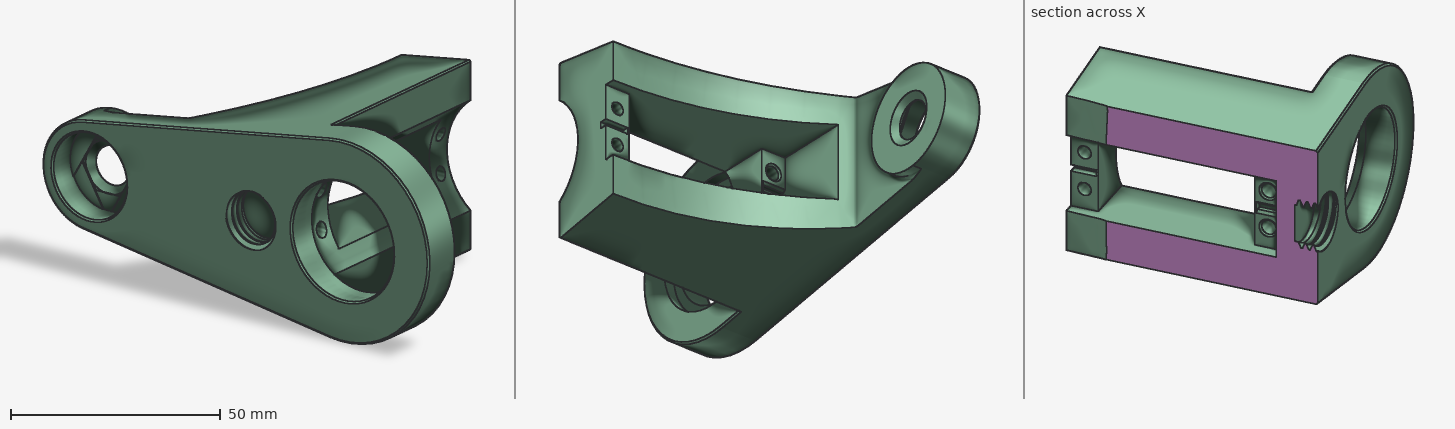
import cadquery as cq
import math

small_radius = 14.0
large_radius = 25.61
ring_x = 114.6 - small_radius - large_radius
plate_thickness = 10.9
arm_thickness = 7.5
edge_chamfer = 0.5
floor_fillet = 1.0
tangent_clearance = 0.5

part_depth = 65.8
upright_right = 64.4
upright_width = 20.4
upright_left = upright_right - upright_width
curve_radius = 95.0

slot_height = 20.6
bar_thickness = 7.1
bar_setback = 2.8
window_front = plate_thickness + bar_thickness
window_back = part_depth - bar_thickness
bar_face = upright_left + bar_setback
screw_spacing = 10.0
back_screw_diameter = 3.4
front_screw_diameter = 3.8
countersink_diameter = 4.7
groove_width = 1.7
groove_web = 0.5
groove_chamfer = 0.7
groove_depth = 2.0

ring_bore = 30.0
ring_land = 8.0
ring_clearance = 35.2
pocket_diameter = 21.8
pocket_depth = 7.1
layer_depth = 0.2
layer_angles = [-60, 60, 0]
hex_flats = 13.1
cone_diameter = 13.5
bolt_diameter = 10.0
back_flare_diameter = 13.9
cone_depth = (cone_diameter - bolt_diameter) / 2
thread_x = 48.0
thread_minor = 13.5
thread_major = 15.9
thread_pitch = 2.0
thread_depth = 6.0
thread_overlap = 0.1
thread_turns = 3.5
thread_start = -thread_pitch
thread_start_angle = 90
thread_half_root = 0.86
thread_half_tip = 0.1

taper_sine = (large_radius - small_radius) / ring_x
taper_cosine = math.sqrt(1 - taper_sine**2)
small_tangent_x = -small_radius * taper_sine
small_tangent_z = small_radius * taper_cosine
large_tangent_x = ring_x - large_radius * taper_sine
large_tangent_z = large_radius * taper_cosine


def front_plane(x, y):
    """Sketch plane facing +Y, centred on the hole axis at x. Sketch-up is -Z."""
    return cq.Workplane(cq.Plane(origin=(x, y, 0), xDir=(1, 0, 0), normal=(0, 1, 0)))


def cylinder(x, y, diameter, length):
    return front_plane(x, y).circle(diameter / 2).extrude(length)


def cone(x, y, start_diameter, end_diameter, length):
    start = cq.Vector(x, y, 0)
    along = cq.Vector(0, 1, 0)
    return cq.Workplane(cq.Solid.makeCone(start_diameter / 2, end_diameter / 2, length, start, along))


def mouth_chamfer(x, diameter):
    """Cone that breaks the front edge of a round hole."""
    return cone(x, 0, diameter + 2 * edge_chamfer, diameter, edge_chamfer)


def lever_profile():
    """Two unequal arcs joined by their common tangents."""
    return (
        front_plane(0, 0)
        .moveTo(small_tangent_x, small_tangent_z)
        .lineTo(large_tangent_x, large_tangent_z)
        .threePointArc((ring_x + large_radius, 0), (large_tangent_x, -large_tangent_z))
        .lineTo(small_tangent_x, -small_tangent_z)
        .threePointArc((-small_radius, 0), (small_tangent_x, small_tangent_z))
        .close()
    )


def curve_at(y):
    """X of the concave upright face, which runs parallel to Y at the back end."""
    return upright_left - curve_radius + math.sqrt(curve_radius**2 - (part_depth - y) ** 2)


def upright_outline():
    """Top outline: boss and arm blank, concave upright, ring end."""
    middle_y = (plate_thickness + part_depth) / 2
    right_end = ring_x + 2 * large_radius
    return (
        cq.Workplane("XY")
        .moveTo(-large_radius, 0)
        .lineTo(right_end, 0)
        .lineTo(right_end, plate_thickness)
        .lineTo(upright_right, plate_thickness)
        .lineTo(upright_right, part_depth)
        .lineTo(upright_left, part_depth)
        .threePointArc((curve_at(middle_y), middle_y), (curve_at(plate_thickness), plate_thickness))
        .lineTo(-large_radius, plate_thickness)
        .close()
        .extrude(2 * large_radius, both=True)
    )


def boss_with_foot():
    """Round boss with a concave fillet where it meets the back of the arm."""
    return (
        cq.Workplane("XY")
        .moveTo(0, 0)
        .lineTo(small_radius + floor_fillet, 0)
        .lineTo(small_radius + floor_fillet, arm_thickness)
        .radiusArc((small_radius, arm_thickness + floor_fillet), floor_fillet)
        .lineTo(small_radius, part_depth)
        .lineTo(0, part_depth)
        .close()
        .revolve(360, (0, 0, 0), (0, 1, 0))
    )


def arm_recess():
    """Material behind the thin arm, between the round boss and the concave face."""
    recess_start = small_tangent_x + tangent_clearance
    middle_y = (arm_thickness + part_depth) / 2
    tool = (
        cq.Workplane("XY")
        .moveTo(curve_at(arm_thickness), arm_thickness)
        .threePointArc((curve_at(middle_y), middle_y), (upright_left, part_depth))
        .lineTo(recess_start, part_depth)
        .lineTo(recess_start, arm_thickness)
        .close()
        .extrude(2 * large_radius, both=True)
        .edges(cq.selectors.NearestToPointSelector((curve_at(arm_thickness), arm_thickness, 0)))
        .fillet(floor_fillet)
    )
    return tool.cut(boss_with_foot())


def slot_and_window():
    """Slot open to the concave face, with a through window between the two bars."""
    mouth_length = bar_face - small_radius
    mouth = cq.Workplane("XY").box(mouth_length, part_depth, slot_height, centered=(False, False, True))
    window = cq.Workplane("XY").box(
        upright_right, window_back - window_front, slot_height, centered=(False, False, True)
    )
    mouth = mouth.translate((small_radius, plate_thickness, 0))
    return mouth.union(window.translate((small_radius, window_front, 0)))


def bar_cone(y, z, diameter, depth):
    """Countersink in the -X face of a bar."""
    tip_radius = diameter / 2 - depth
    start = cq.Vector(bar_face, y, z)
    return cq.Workplane(cq.Solid.makeCone(diameter / 2, tip_radius, depth, start, cq.Vector(1, 0, 0)))


def bar_features(bar_start, groove_start, hole_diameter):
    """Two screw holes through a bar along X and a groove between them."""
    middle_y = bar_start + bar_thickness / 2
    places = [(middle_y, -screw_spacing / 2), (middle_y, screw_spacing / 2)]
    face = cq.Workplane("YZ", origin=(bar_face, 0, 0))
    holes = face.pushPoints(places).circle(hole_diameter / 2).extrude(upright_width)
    groove_length = bar_thickness - groove_web
    groove = face.center(groove_start + groove_length / 2, 0).rect(groove_length, groove_width)
    return holes.union(groove.extrude(groove_depth))


def front_bar_chamfers():
    """Broken edges of the screw holes and of the groove in the front bar."""
    middle_y = plate_thickness + bar_thickness / 2
    half_mouth = groove_width / 2 + groove_chamfer
    groove_edges = (
        cq.Workplane("XZ", origin=(0, plate_thickness, 0))
        .moveTo(bar_face, -half_mouth)
        .lineTo(bar_face, half_mouth)
        .lineTo(bar_face + groove_chamfer, groove_width / 2)
        .lineTo(bar_face + groove_chamfer, -groove_width / 2)
        .close()
        .extrude(-(bar_thickness - groove_web))
    )
    depth = (countersink_diameter - front_screw_diameter) / 2
    for z in (-screw_spacing / 2, screw_spacing / 2):
        groove_edges = groove_edges.union(bar_cone(middle_y, z, countersink_diameter, depth))
    return groove_edges


def strip(angle, y):
    """Strip through the pocket, as wide as the hexagon flats and turned by angle."""
    return (
        front_plane(0, y)
        .transformed(rotate=(0, 0, angle))
        .rect(pocket_diameter, hex_flats)
        .extrude(layer_depth)
        .intersect(cylinder(0, y, pocket_diameter, layer_depth))
    )


def bolt_hole():
    """Round pocket narrowing in three thin layers to a hexagon, then a cone that flares again to the back."""
    cut = cylinder(0, 0, pocket_diameter, pocket_depth)
    y = pocket_depth
    for count in range(1, len(layer_angles) + 1):
        layer = strip(layer_angles[0], y)
        for angle in layer_angles[1:count]:
            layer = layer.intersect(strip(angle, y))
        cut = cut.union(layer)
        y += layer_depth
    cut = cut.union(cone(0, y, cone_diameter, bolt_diameter, cone_depth))
    y += cone_depth
    return cut.union(cone(0, y, bolt_diameter, back_flare_diameter, plate_thickness - y))


def threaded_hole():
    """Blind hole with a helical V groove that runs in from the front face."""
    bore = cylinder(thread_x, 0, thread_minor, thread_depth)
    root = thread_minor / 2 - thread_overlap
    crest = thread_major / 2
    helix = cq.Wire.makeHelix(
        thread_pitch, thread_turns * thread_pitch, root, cq.Vector(0, 0, 0), cq.Vector(0, 0, 1)
    )
    groove = (
        cq.Workplane("XZ")
        .moveTo(root, -thread_half_root)
        .lineTo(crest, -thread_half_tip)
        .lineTo(crest, thread_half_tip)
        .lineTo(root, thread_half_root)
        .close()
        .sweep(cq.Workplane(helix), isFrenet=True)
        .rotate((0, 0, 0), (0, 0, 1), thread_start_angle)
        .rotate((0, 0, 0), (1, 0, 0), -90)
        .translate((thread_x, thread_start, 0))
    )
    return bore, groove


body = lever_profile().extrude(part_depth).intersect(upright_outline()).cut(arm_recess())
body = body.faces("<Y").edges().chamfer(edge_chamfer)
right_back = cq.selectors.BoxSelector(
    (upright_right - edge_chamfer, plate_thickness - edge_chamfer, -2 * large_radius),
    (ring_x + large_radius, part_depth - edge_chamfer, 2 * large_radius),
)
body = body.edges(right_back).edges("not |Z").chamfer(edge_chamfer)

body = body.cut(slot_and_window())
body = body.cut(bar_features(plate_thickness, plate_thickness, front_screw_diameter))
body = body.cut(bar_features(window_back, window_back + groove_web, back_screw_diameter))
body = body.cut(front_bar_chamfers())

body = body.cut(bolt_hole())
body = body.cut(cylinder(ring_x, 0, ring_bore, part_depth))
body = body.cut(cylinder(ring_x, ring_land, ring_clearance, part_depth))
for hole_x, diameter in ((0, pocket_diameter), (ring_x, ring_bore)):
    body = body.cut(mouth_chamfer(hole_x, diameter))

bore, groove = threaded_hole()
result = body.cut(bore).cut(groove)